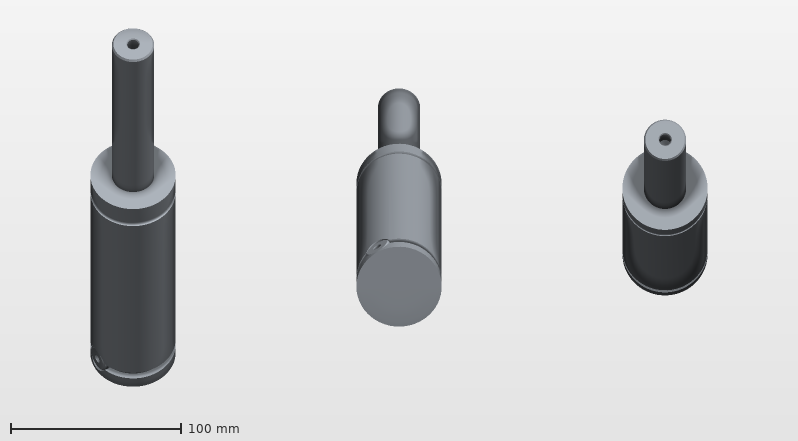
import cadquery as cq

total_height = 300.0
body_diameter = 50.0
body_height = 172.5
rod_diameter = 25.0
rod_chamfer_width = 1.0
rod_chamfer_height = 1.2

rod_hole_diameter = 7.0
rod_hole_mouth_diameter = 8.0
rod_hole_depth = 15.0
drill_tip_height = 1.8

head_height = 14.7
round_groove_radius = 1.8

foot_height = 8.0
foot_groove_width = 5.5
foot_groove_depth = 3.5

plug_height = foot_height + foot_groove_width / 2
plug_diameter = 16.0
plug_chamfer = 1.0
plug_setback = 0.5
plug_hole_diameter = 5.5
plug_hole_depth = 4.5
pocket_diameter = 16.5
pocket_depth = foot_groove_depth

body_radius = body_diameter / 2
rod_hole_radius = rod_hole_diameter / 2
rod_hole_mouth_radius = rod_hole_mouth_diameter / 2


def make_body_and_rod():
    """Body with a chamfered piston rod on its axis."""
    body = cq.Workplane("XY").circle(body_radius).extrude(body_height)
    rod_radius = rod_diameter / 2
    rod = (
        cq.Workplane("XZ")
        .lineTo(rod_radius, 0)
        .lineTo(rod_radius, total_height - rod_chamfer_height)
        .lineTo(rod_radius - rod_chamfer_width, total_height)
        .lineTo(0, total_height)
        .close()
        .revolve(360, (0, 0), (0, 1))
    )
    return body.union(rod)


def make_round_groove():
    """Ring of round section centred on the body surface."""
    return (
        cq.Workplane("XZ")
        .center(body_radius, body_height - head_height)
        .circle(round_groove_radius)
        .revolve(360, (-body_radius, 0), (-body_radius, 1))
    )


def make_foot_groove():
    """Ring of square section around the foot of the body."""
    return (
        cq.Workplane("XY")
        .workplane(offset=foot_height)
        .circle(body_radius)
        .circle(body_radius - foot_groove_depth)
        .extrude(foot_groove_width)
    )


def make_rod_hole():
    """Blind hole with a countersunk mouth and a conical bottom."""
    mouth_depth = rod_hole_mouth_radius - rod_hole_radius
    bottom = total_height - rod_hole_depth
    return (
        cq.Workplane("XZ")
        .moveTo(0, total_height)
        .lineTo(rod_hole_mouth_radius, total_height)
        .lineTo(rod_hole_radius, total_height - mouth_depth)
        .lineTo(rod_hole_radius, bottom)
        .lineTo(0, bottom - drill_tip_height)
        .close()
        .revolve(360, (0, 0), (0, 1))
    )


def port_cylinder(diameter, start, end):
    """Cylinder along +Y between two depths below the outermost -Y point of the body."""
    return (
        cq.Workplane("XZ", origin=(0, start - body_radius, plug_height))
        .circle(diameter / 2)
        .extrude(start - end)
    )


def make_plug():
    """Flat-faced plug with a chamfered rim, rooted below the pocket floor."""
    root_depth = 2 * pocket_depth
    plug = port_cylinder(plug_diameter, plug_setback, root_depth)
    return plug.faces("<Y").chamfer(plug_chamfer)


result = (
    make_body_and_rod()
    .cut(make_round_groove())
    .cut(make_foot_groove())
    .cut(make_rod_hole())
    .cut(port_cylinder(pocket_diameter, 0, pocket_depth))
    .union(make_plug())
    .cut(port_cylinder(plug_hole_diameter, plug_setback, plug_setback + plug_hole_depth))
)